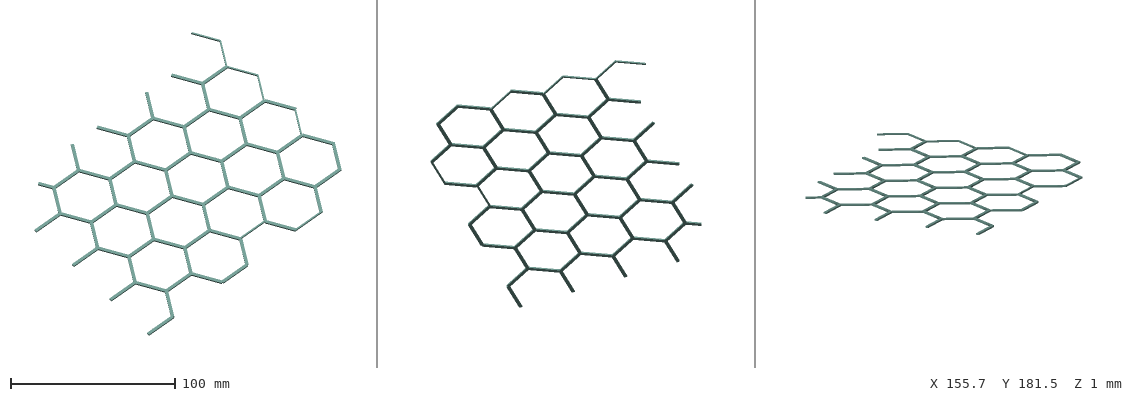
import cadquery as cq
import math

width_x = 155.7
length_y = 181.5
thickness = 1.0

strut_width = 2.0
half_width = strut_width / 2
corner_radius = 2 * half_width / math.sqrt(3)

row_count = 6
struts_per_row = 4
sides_in_length = 1.5 * row_count
pitches_in_width = struts_per_row + 0.5
side = (length_y - corner_radius) / sides_in_length
pitch = side * math.sqrt(3)
rise = side / 2
row_step = side + rise
tip_trim = pitches_in_width * pitch + half_width - width_x

half_uprights = [(1, 3), (2, 3)]
half_top_slopes = [-2, -1, 0, 1, 3]
mitred_top_nodes = [5, 6]


def strut(start, end, is_full=True):
    """Flat-ended bar between two points; a half strut is only the part right of its centre line."""
    length = math.dist(start, end)
    left_edge = half_width if is_full else 0
    angle = math.degrees(math.atan2(end[1] - start[1], end[0] - start[0]))
    return (
        cq.Workplane("XY")
        .moveTo(0, -half_width)
        .lineTo(length, -half_width)
        .lineTo(length, left_edge)
        .lineTo(0, left_edge)
        .close()
        .extrude(thickness)
        .rotate((0, 0, 0), (0, 0, 1), angle)
        .translate((start[0], start[1], 0))
    )


def zigzag_node(row, place):
    """Corner of the zigzag above a row; every second corner is a peak."""
    is_peak = (place + row) % 2 == 1
    return (place * pitch / 2, -row * row_step + (rise if is_peak else 0))


def upright_row(row):
    """Upright struts hanging from the low nodes of the zigzag above them."""
    bars = []
    for place in range(struts_per_row):
        x, top = zigzag_node(row, 2 * place + row % 2)
        is_full = (row, place) not in half_uprights
        bars.append(strut((x, top), (x, top - side), is_full))
    return bars


def zigzag(row):
    """Sloping struts above one row; the top zigzag starts and ends further left than the others."""
    first, last = (-2, 6) if row == 0 else (-1, 7)
    bars = []
    for place in range(first, last):
        start = zigzag_node(row, place)
        end = zigzag_node(row, place + 1)
        if row == row_count - 1 and place == first:
            start = ((start[0] + end[0]) / 2, (start[1] + end[1]) / 2)
        is_full = row > 0 or place not in half_top_slopes
        bars.append(strut(start, end, is_full))
    return bars


def mitred_corner(node):
    """Hexagonal pad that fills the outside of a two-strut joint out to its sharp corner."""
    pad = cq.Workplane("XY").polygon(6, 2 * corner_radius).extrude(thickness)
    return pad.rotate((0, 0, 0), (0, 0, 1), 90).translate((node[0], node[1], 0))


def trimming_block(left, right, center_y, height):
    """Block that clears everything between two X positions."""
    block = cq.Workplane("XY").box(right - left, height, 2 * thickness)
    return block.translate(((left + right) / 2, center_y, thickness / 2))


bars = []
for row in range(row_count):
    bars += zigzag(row)
    bars += upright_row(row)
for place in mitred_top_nodes:
    bars.append(mitred_corner(zigzag_node(0, place)))

mesh = bars[0]
for bar in bars[1:]:
    mesh = mesh.union(bar)

tip_x, tip_y = zigzag_node(0, -2)
mesh = mesh.cut(trimming_block(tip_x - side, tip_x + tip_trim, tip_y, side))

edge_x, edge_top = zigzag_node(1, 7)
mesh = mesh.cut(trimming_block(edge_x, edge_x + side, edge_top - side / 2, side + 2 * strut_width))

result = mesh